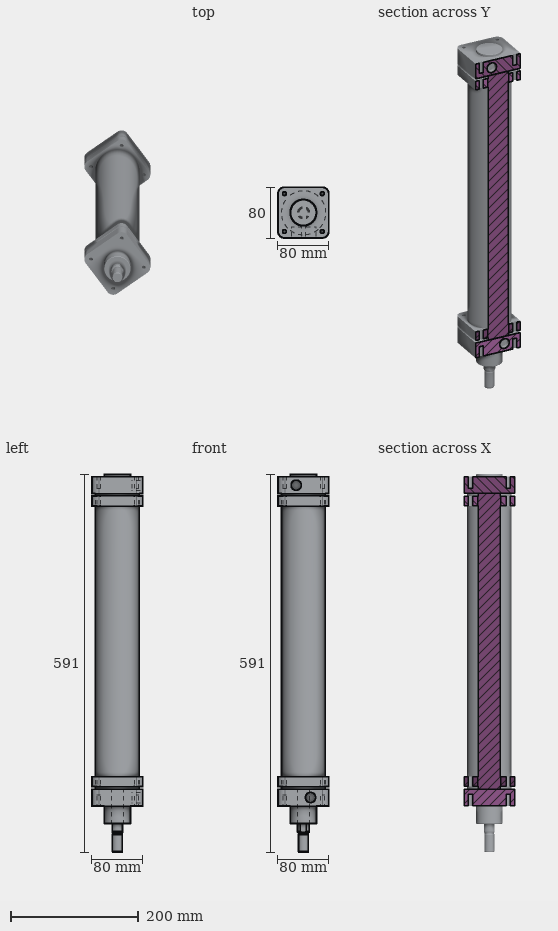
import cadquery as cq

BLOCK_WIDTH = 80.0
BLOCK_CORNER_RADIUS = 10.5
HEAD_HEIGHT = 26.5
FLANGE_HEIGHT = 16.0
HEAD_GAP = 3.5

BOLT_SPACING = 59
BOLT_HOLE_DIAMETER = 6
BOLT_HOLE_DEPTH = 18

PORT_DIAMETER = 16.0
PORT_OFFSET = 11.0
PORT_DEPTH = 18

BOSS_DIAMETER = 41.5
TOP_BOSS_HEIGHT = 4.0
NECK_HEIGHT = 28.0
BOSS_CHAMFER = 0.5

TUBE_DIAMETER = 69.0

SHANK_DIAMETER = 19.0
SHANK_CHAMFER_RADIAL = 0.5
ACROSS_FLATS = 16.5
THREAD_DIAMETER = 16.0
RELIEF_DIAMETER = 15.0
RELIEF_WIDTH = 2.0
TAPER_LENGTH = 2.0
SHANK_STICKOUT = 13.5
ROD_STICKOUT = 44.5

TOTAL_LENGTH = 591

neck_bottom = ROD_STICKOUT
shank_bottom = neck_bottom - SHANK_STICKOUT
front_head_bottom = neck_bottom + NECK_HEIGHT
front_head_top = front_head_bottom + HEAD_HEIGHT
front_flange_bottom = front_head_top + HEAD_GAP
rear_head_top = TOTAL_LENGTH - TOP_BOSS_HEIGHT
rear_head_bottom = rear_head_top - HEAD_HEIGHT
rear_flange_bottom = rear_head_bottom - HEAD_GAP - FLANGE_HEIGHT


def cylinder(diameter, bottom, height):
    return cq.Workplane("XY").workplane(offset=bottom).circle(diameter / 2).extrude(height)


def square_block(bottom, height):
    """Square block with rounded corners."""
    return (
        cq.Workplane("XY")
        .workplane(offset=bottom)
        .rect(BLOCK_WIDTH, BLOCK_WIDTH)
        .extrude(height)
        .edges("|Z")
        .fillet(BLOCK_CORNER_RADIUS)
    )


def bolt_holes(bottom, depth):
    """The four corner holes, as solids to cut away."""
    return (
        cq.Workplane("XY")
        .workplane(offset=bottom)
        .rect(BOLT_SPACING, BOLT_SPACING, forConstruction=True)
        .vertices()
        .circle(BOLT_HOLE_DIAMETER / 2)
        .extrude(depth)
    )


def port(x, z):
    """Blind round port entering from the -Y face of a head."""
    return (
        cq.Workplane("XZ", origin=(x, -BLOCK_WIDTH / 2, z))
        .circle(PORT_DIAMETER / 2)
        .extrude(-PORT_DEPTH)
    )


def make_flange(bottom):
    flange = square_block(bottom, FLANGE_HEIGHT).cut(cylinder(TUBE_DIAMETER, bottom, FLANGE_HEIGHT))
    return flange.cut(bolt_holes(bottom, FLANGE_HEIGHT))


def make_front_head():
    neck = cylinder(BOSS_DIAMETER, neck_bottom, NECK_HEIGHT).faces("<Z").chamfer(BOSS_CHAMFER)
    head = square_block(front_head_bottom, HEAD_HEIGHT).union(neck)
    head = head.cut(bolt_holes(front_head_bottom, BOLT_HOLE_DEPTH))
    head = head.cut(port(PORT_OFFSET, front_head_bottom + HEAD_HEIGHT / 2))
    return head.cut(cylinder(SHANK_DIAMETER, neck_bottom, front_head_top - neck_bottom))


def make_rear_head():
    boss = cylinder(BOSS_DIAMETER, rear_head_top, TOP_BOSS_HEIGHT).faces(">Z").chamfer(BOSS_CHAMFER)
    head = square_block(rear_head_bottom, HEAD_HEIGHT).union(boss)
    head = head.cut(bolt_holes(rear_head_top - BOLT_HOLE_DEPTH, BOLT_HOLE_DEPTH))
    return head.cut(port(-PORT_OFFSET, rear_head_bottom + HEAD_HEIGHT / 2))


def make_tube():
    return cylinder(TUBE_DIAMETER, front_head_top, rear_head_bottom - front_head_top)


def make_rod():
    """Turned rod with tapered shoulders, its shank milled flat on its -Y and +Y sides."""
    shank_radius = SHANK_DIAMETER / 2
    thread_radius = THREAD_DIAMETER / 2
    relief_radius = RELIEF_DIAMETER / 2
    thread_top = shank_bottom - RELIEF_WIDTH
    turned = (
        cq.Workplane("YZ")
        .moveTo(0, 0)
        .lineTo(relief_radius, 0)
        .lineTo(thread_radius, TAPER_LENGTH)
        .lineTo(thread_radius, thread_top - TAPER_LENGTH)
        .lineTo(relief_radius, thread_top)
        .lineTo(relief_radius, shank_bottom)
        .lineTo(shank_radius - SHANK_CHAMFER_RADIAL, shank_bottom)
        .lineTo(shank_radius, shank_bottom + TAPER_LENGTH)
        .lineTo(shank_radius, front_head_top)
        .lineTo(0, front_head_top)
        .close()
        .revolve(360, (0, 0, 0), (0, 1, 0))
    )
    cutter_width = 2 * SHANK_DIAMETER
    outside_flats = (
        cq.Workplane("XY")
        .workplane(offset=shank_bottom)
        .rect(cutter_width, cutter_width)
        .rect(cutter_width, ACROSS_FLATS)
        .extrude(SHANK_STICKOUT)
    )
    return turned.cut(outside_flats)


front_flange = make_flange(front_flange_bottom)
rear_flange = make_flange(rear_flange_bottom)
front_head = make_front_head()
rear_head = make_rear_head()
tube = make_tube()
rod = make_rod()

result = cq.Compound.makeCompound(
    [front_head.val(), rear_head.val(), front_flange.val(), rear_flange.val(), tube.val(), rod.val()]
)